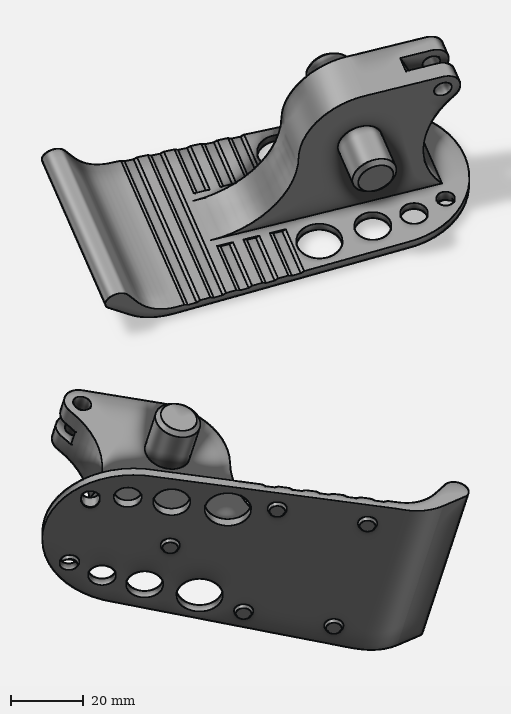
import math

import cadquery as cq


plate_thickness = 2.54
rear_length = 25.4
rear_half_width = 25.15
tail_width = 55.88
tail_start_y = -67.2

overall_length = 113.0
lip_radius = 3.81
lip_center_z = 10.16
lip_front_y = rear_length - overall_length
nose_radius = 2.54
nose_angle = math.radians(40)
nose_offset = lip_radius - nose_radius
nose_center_y = lip_front_y + nose_radius
nose_center_z = lip_center_z + nose_offset * math.sin(nose_angle)
lip_center_y = nose_center_y + nose_offset * math.cos(nose_angle)
tail_upper_radius = 13.3
tail_lower_radius = 17.78
tail_lower_start_y = -69.2

plate_holes = [
    (13.2, 15.5, 5.08),
    (15.66, 5.58, 7.62),
    (16.5, -6.6, 10.16),
    (17.2, -22.25, 12.7),
]

groove_pitch = 7.62
groove_first_y = -31.97
groove_count = 5
split_groove_count = 3
groove_depth = 0.508
groove_wall_run = 1.016
groove_width = 4.6
split_groove_inner_x = 10.16

fin_width = 15.24
fin_top_z = 46.51
fin_front_y = -25.1
fin_crown_radius = 19.05
fin_foot_radius = 25.4
fin_back_radius = 25.4
fin_back_foot_y = 16.3
crown_start_y = fin_front_y + fin_crown_radius
fin_foot_center_z = plate_thickness + fin_foot_radius

eye_radius = 5.08
eye_hole_diameter = 5.08
eye_y = 16.55
eye_z = fin_top_z - eye_radius
slot_width = 5.08
slot_radius = 6.35
slot_mouth_y = 7.54

pin_diameter = 12.7
pin_length = 43.3
pin_chamfer = 1.27
pin_y = -7.42
pin_z = 27.94

pad_diameter = 5.3
pad_tip_diameter = 4.3
pad_height = 1.016
pad_pitch = 25.4
pad_first_y = 15.4
pad_rows = [
    (-12.5, 12.5),
    (0,),
    (-20.5, 20.5),
    (-20.5, 20.5),
]


def polar(center, radius, angle):
    """Point at the given angle (radians) on a circle in the YZ plane."""
    return (center[0] + radius * math.cos(angle), center[1] + radius * math.sin(angle))


def direction(start, end):
    """Angle (radians) of the vector from start to end."""
    return math.atan2(end[1] - start[1], end[0] - start[0])


def extrude_across(profile, width):
    """Extrude a closed YZ profile by the width, centred on X = 0."""
    return profile.extrude(width / 2, both=True)


def make_plate():
    half_tail = tail_width / 2
    return (
        cq.Workplane("XY")
        .moveTo(rear_half_width, 0)
        .threePointArc((0, rear_length), (-rear_half_width, 0))
        .lineTo(-half_tail, tail_start_y)
        .lineTo(half_tail, tail_start_y)
        .close()
        .extrude(plate_thickness)
    )


def make_tail():
    lip = (lip_center_y, lip_center_z)
    nose = (nose_center_y, nose_center_z)
    upper = (tail_start_y, plate_thickness + tail_upper_radius)
    lower = (tail_lower_start_y, tail_lower_radius)
    down = -math.pi / 2

    upper_span = math.dist(upper, lip)
    upper_angle = direction(upper, lip) + math.acos((tail_upper_radius + lip_radius) / upper_span)
    upper_end = polar(upper, tail_upper_radius, upper_angle)
    lip_start = polar(lip, lip_radius, upper_angle + math.pi)
    upper_mid = polar(upper, tail_upper_radius, (down + upper_angle) / 2)

    lower_span = math.dist(lower, nose)
    lower_angle = direction(lower, nose) + math.acos((tail_lower_radius - nose_radius) / lower_span)
    lower_end = polar(lower, tail_lower_radius, lower_angle)
    lower_mid = polar(lower, tail_lower_radius, (down + lower_angle) / 2)
    nose_end = polar(nose, nose_radius, lower_angle)

    nose_start_angle = math.pi - nose_angle
    nose_start = polar(lip, lip_radius, nose_start_angle)
    nose_mid = (lip_front_y, nose_center_z)
    lip_mid = polar(lip, lip_radius, (upper_angle + math.pi + nose_start_angle) / 2)

    profile = (
        cq.Workplane("YZ")
        .moveTo(tail_start_y, 0)
        .lineTo(tail_start_y, plate_thickness)
        .threePointArc(upper_mid, upper_end)
        .lineTo(*lip_start)
        .threePointArc(lip_mid, nose_start)
        .threePointArc(nose_mid, nose_end)
        .lineTo(*lower_end)
        .threePointArc(lower_mid, (tail_lower_start_y, 0))
        .close()
    )
    return extrude_across(profile, tail_width)


def make_fin():
    eye = (eye_y, eye_z)
    back_foot = (fin_back_foot_y, plate_thickness)

    span = math.dist(back_foot, eye)
    eye_reach = fin_back_radius + eye_radius
    along = (fin_back_radius**2 - eye_reach**2 + span**2) / (2 * span)
    turn = math.acos(along / fin_back_radius)
    back = polar(back_foot, fin_back_radius, direction(back_foot, eye) - turn)
    back_tangent = polar(back, fin_back_radius, direction(back, eye))
    back_mid = (back[0] - fin_back_radius, back[1])
    eye_mid_angle = (math.pi / 2 + direction(eye, back)) / 2
    eye_mid = polar(eye, eye_radius, eye_mid_angle)

    foot_center = (fin_front_y - fin_foot_radius, fin_foot_center_z)
    foot_mid = polar(foot_center, fin_foot_radius, -math.pi / 4)
    profile = (
        cq.Workplane("YZ")
        .moveTo(foot_center[0], 0)
        .lineTo(foot_center[0], plate_thickness)
        .threePointArc(foot_mid, (fin_front_y, fin_foot_center_z))
        .radiusArc((crown_start_y, fin_top_z), fin_crown_radius)
        .lineTo(eye_y, fin_top_z)
        .threePointArc(eye_mid, back_tangent)
        .threePointArc(back_mid, back_foot)
        .lineTo(fin_back_foot_y, 0)
        .close()
    )
    fin = extrude_across(profile, fin_width)
    eye_hole = extrude_across(
        cq.Workplane("YZ").center(*eye).circle(eye_hole_diameter / 2), fin_width
    )
    return fin.cut(eye_hole).cut(make_eye_slot())


def make_eye_slot():
    eye = (eye_y, eye_z)
    mouth = (slot_mouth_y, fin_top_z)
    tangent_angle = direction(eye, mouth) + math.acos(slot_radius / math.dist(eye, mouth))
    round_part = cq.Workplane("YZ").center(*eye).circle(slot_radius)
    throat = (
        cq.Workplane("YZ")
        .polyline([mouth, polar(eye, slot_radius, tangent_angle), eye, (eye_y, fin_top_z)])
        .close()
    )
    return extrude_across(round_part, slot_width).union(extrude_across(throat, slot_width))


def make_pin():
    return (
        cq.Workplane("YZ")
        .center(pin_y, pin_z)
        .circle(pin_diameter / 2)
        .extrude(pin_length / 2, both=True)
        .faces("<X or >X")
        .chamfer(pin_chamfer)
    )


def make_pads():
    taper = math.degrees(math.atan2((pad_diameter - pad_tip_diameter) / 2, pad_height))
    positions = [
        (x, pad_first_y - row * pad_pitch) for row, offsets in enumerate(pad_rows) for x in offsets
    ]
    return (
        cq.Workplane("XY")
        .pushPoints(positions)
        .circle(pad_diameter / 2)
        .extrude(-pad_height, taper=taper)
    )


def make_groove(center_y):
    half_width = groove_width / 2
    floor_half = half_width - groove_wall_run
    floor_z = plate_thickness - groove_depth
    profile = (
        cq.Workplane("YZ")
        .polyline(
            [
                (center_y - half_width, plate_thickness),
                (center_y - floor_half, floor_z),
                (center_y + floor_half, floor_z),
                (center_y + half_width, plate_thickness),
            ]
        )
        .close()
    )
    return extrude_across(profile, tail_width)


def cut_grooves(plate):
    middle = cq.Workplane("XY").box(2 * split_groove_inner_x, 2 * overall_length, 2 * plate_thickness)
    for i in range(groove_count):
        groove = make_groove(groove_first_y - i * groove_pitch)
        if i < split_groove_count:
            groove = groove.cut(middle)
        plate = plate.cut(groove)
    return plate


def cut_plate_holes(body):
    for offset_x, y, diameter in plate_holes:
        for x in (-offset_x, offset_x):
            hole = (
                cq.Workplane("XY", origin=(x, y, -pad_height))
                .circle(diameter / 2)
                .extrude(pad_height + plate_thickness)
            )
            body = body.cut(hole)
    return body


base = cut_grooves(make_plate()).union(make_tail())
base = cut_plate_holes(base.union(make_pads()))
result = base.union(make_fin()).union(make_pin())